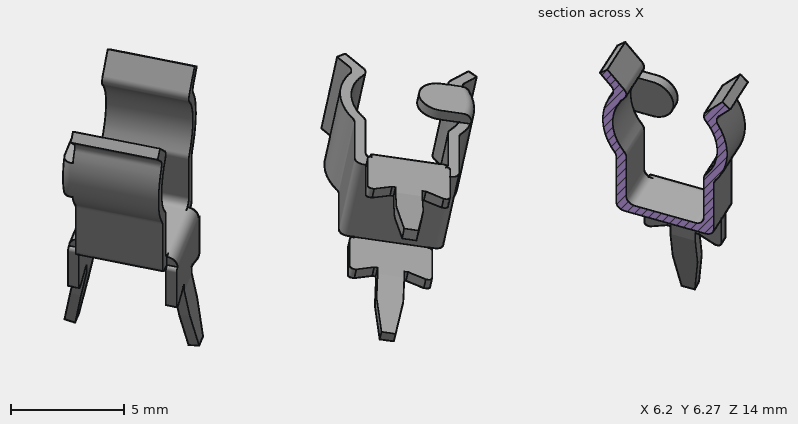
import cadquery as cq
import math


sheet = 0.5
clip_length = 4.0
clip_half_length = clip_length / 2
wall_gap = 3.7
inner_wall_y = wall_gap / 2
outer_wall_y = inner_wall_y + sheet
bend_radius = 0.4

seat_radius = 2.5
seat_outer_radius = seat_radius + sheet
seat_z = 5.05
lip_angle = math.radians(48)
lip_span = 6.274
lip_top_z = 8.04

tab_height = 2.0
tab_z = 5.14
tab_end_radius = tab_height / 2
tab_end_y = 0.45
tab_edge_radius = 0.4

leg_outer_x = clip_half_length + sheet
leg_half_width = wall_gap / 2
leg_corner_radius = 0.18
leg_bend_half_width = leg_half_width - leg_corner_radius
shoulder_low_z = -2.38
shoulder_low_y = 1.56
shoulder_high_z = -2.03
shoulder_high_y = 0.76
pin_half_width = 0.6
pin_tip_half_width = 0.32
pin_bend_z = -2.43
pin_flare = math.radians(10)
pin_reach = 0.6
pin_length = pin_reach / math.sin(pin_flare)
pin_straight_length = 1.45


def lip_meets_seat(tip_y, tip_z, radius):
    """Point where a lip line running down from its tip meets a seat circle."""
    dir_y = -math.cos(lip_angle)
    dir_z = -math.sin(lip_angle)
    height = tip_z - seat_z
    along = tip_y * dir_y + height * dir_z
    reach = along ** 2 - (tip_y ** 2 + height ** 2 - radius ** 2)
    distance = -along - math.sqrt(reach)
    return tip_y + distance * dir_y, tip_z + distance * dir_z


def wall_meets_seat(wall_y, radius):
    """Point where a vertical wall face meets a seat circle below the fuse axis."""
    return wall_y, seat_z - math.sqrt(radius ** 2 - wall_y ** 2)


def make_arm():
    """Half of the clip channel on the +Y side, from the middle of the floor to the lip."""
    outer_tip = (lip_span / 2, lip_top_z - sheet * math.cos(lip_angle))
    inner_tip = (lip_span / 2 - sheet * math.sin(lip_angle), lip_top_z)
    outer_low = wall_meets_seat(outer_wall_y, seat_outer_radius)
    inner_low = wall_meets_seat(inner_wall_y, seat_radius)
    outer_high = lip_meets_seat(*outer_tip, seat_outer_radius)
    inner_high = lip_meets_seat(*inner_tip, seat_radius)
    arm = (
        cq.Workplane("YZ", origin=(-clip_half_length, 0, 0))
        .moveTo(0, 0)
        .lineTo(outer_wall_y, 0)
        .lineTo(*outer_low)
        .threePointArc((seat_outer_radius, seat_z), outer_high)
        .lineTo(*outer_tip)
        .lineTo(*inner_tip)
        .lineTo(*inner_high)
        .threePointArc((seat_radius, seat_z), inner_low)
        .lineTo(inner_wall_y, sheet)
        .lineTo(0, sheet)
        .close()
        .extrude(clip_length)
    )
    bends = [
        (outer_wall_y, 0),
        (inner_wall_y, sheet),
        outer_low,
        inner_low,
        outer_high,
        inner_high,
    ]
    for y, z in bends:
        bend_edge = cq.selectors.NearestToPointSelector((0, y, z))
        arm = arm.edges(bend_edge).fillet(bend_radius)
    return arm


def make_tab():
    """End stop folded inward from the +Y arm across the -X end of the seat."""
    end_center_y = tab_end_y + tab_end_radius
    top_z = tab_z + tab_end_radius
    low_z = tab_z - tab_end_radius
    root_top_y = math.sqrt(seat_outer_radius ** 2 - (top_z - seat_z) ** 2)
    root_low_y = math.sqrt(seat_outer_radius ** 2 - (low_z - seat_z) ** 2)
    tab = (
        cq.Workplane("YZ", origin=(-leg_outer_x, 0, 0))
        .moveTo(root_low_y, low_z)
        .threePointArc((seat_outer_radius, seat_z), (root_top_y, top_z))
        .lineTo(end_center_y, top_z)
        .threePointArc((tab_end_y, tab_z), (end_center_y, low_z))
        .close()
        .extrude(sheet)
    )
    folded_edge = cq.selectors.NearestToPointSelector((-leg_outer_x, seat_outer_radius, seat_z))
    return tab.edges(folded_edge).fillet(tab_edge_radius)


def make_leg_plate():
    """Vertical leg plate with rounded corners and sloping shoulders, joined by a round bend."""
    plate = (
        cq.Workplane("YZ", origin=(-leg_outer_x, 0, 0))
        .polyline([
            (-leg_half_width, 0),
            (leg_half_width, 0),
            (leg_half_width, shoulder_low_z),
            (shoulder_low_y, shoulder_low_z),
            (shoulder_high_y, shoulder_high_z),
            (pin_half_width, shoulder_high_z),
            (pin_half_width, pin_bend_z),
            (-pin_half_width, pin_bend_z),
            (-pin_half_width, shoulder_high_z),
            (-shoulder_high_y, shoulder_high_z),
            (-shoulder_low_y, shoulder_low_z),
            (-leg_half_width, shoulder_low_z),
        ])
        .close()
        .extrude(sheet)
    )
    plate = plate.edges("|X and (<Y or >Y)").fillet(leg_corner_radius)
    bend = (
        cq.Workplane("XZ", origin=(0, leg_bend_half_width, 0))
        .moveTo(-clip_half_length, 0)
        .lineTo(-leg_outer_x, 0)
        .radiusArc((-clip_half_length, sheet), sheet)
        .close()
        .extrude(2 * leg_bend_half_width)
    )
    return plate.union(bend)


def make_pin():
    """Flared solder pin below the leg plate, tapering towards its tip."""
    tip_x = -leg_outer_x - pin_reach
    tip_z = pin_bend_z - pin_length * math.cos(pin_flare)
    inner_tip_x = tip_x + sheet * math.cos(pin_flare)
    inner_tip_z = tip_z - sheet * math.sin(pin_flare)
    inner_bend_z = pin_bend_z - sheet * math.tan(pin_flare / 2)
    bent_strip = (
        cq.Workplane("XZ", origin=(0, pin_half_width, 0))
        .polyline([
            (-leg_outer_x, pin_bend_z),
            (-clip_half_length, pin_bend_z),
            (-clip_half_length, inner_bend_z),
            (inner_tip_x, inner_tip_z),
            (tip_x, tip_z),
        ])
        .close()
        .extrude(2 * pin_half_width)
    )
    pin_face = cq.Plane(
        origin=(-leg_outer_x, 0, pin_bend_z),
        xDir=(0, 1, 0),
        normal=(math.cos(pin_flare), 0, -math.sin(pin_flare)),
    )
    outline = (
        cq.Workplane(pin_face)
        .polyline([
            (-pin_half_width, sheet),
            (pin_half_width, sheet),
            (pin_half_width, -pin_straight_length),
            (pin_tip_half_width, -pin_length),
            (-pin_tip_half_width, -pin_length),
            (-pin_half_width, -pin_straight_length),
        ])
        .close()
        .extrude(sheet, both=True)
    )
    return bent_strip.intersect(outline)


arm = make_arm()
stop_arm = arm.union(make_tab()).mirror("XZ")
leg = make_leg_plate().union(make_pin())

result = (
    arm.union(stop_arm)
    .union(leg)
    .union(leg.mirror("YZ"))
)